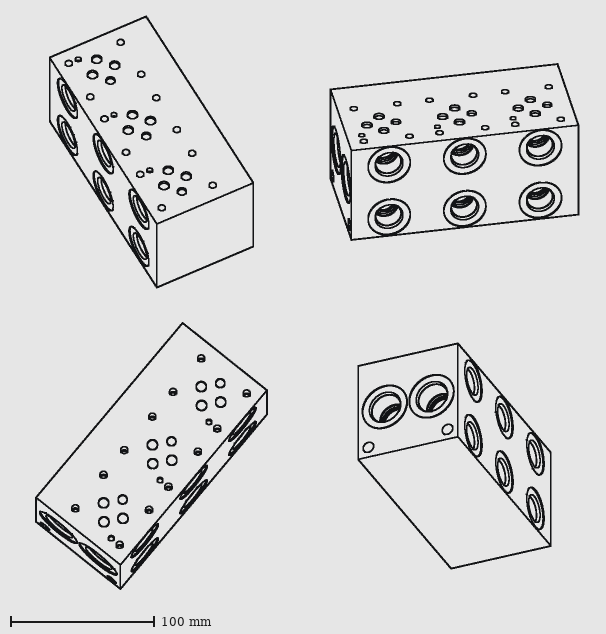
import cadquery as cq
import math

LENGTH = 161.67
DEPTH = 76.2
HEIGHT = 76.2

DRILL_POINT_ANGLE = 118.0
POINT_SLOPE = math.tan(math.radians(DRILL_POINT_ANGLE / 2))

STATION_COUNT = 3
STATION_PITCH = 53.85

FRONT_BOLT_ROW_INSET = 9.525
FRONT_BOLT_ROW_Y = -DEPTH / 2 + FRONT_BOLT_ROW_INSET
BOLT_ROW_SPACING = 40.5
FRONT_BOLT_HALF_SPACING = 16.25
BACK_BOLT_HALF_SPACING = 15.5
BOLT_THREAD_DIAMETER = 5.0
BOLT_TAP_DIAMETER = 4.22
BOLT_THREAD_DEPTH = 10.0
BOLT_TAP_DEPTH = 12.0

PATTERN_CENTRE_OFFSET = 19.0
PATTERN_CENTRE_Y = FRONT_BOLT_ROW_Y + PATTERN_CENTRE_OFFSET
PORT_OFFSET_X = 10.32
PORT_OFFSET_Y = 8.75
VALVE_PORT_DIAMETER = 7.14
PRESSURE_PORT_DIAMETER = 6.35
VALVE_PORT_DEPTH = 2.0
LOCATING_PIN_OFFSET = 7.5
LOCATING_PIN_Y = FRONT_BOLT_ROW_Y + LOCATING_PIN_OFFSET
LOCATING_PIN_DIAMETER = 3.96
LOCATING_PIN_DEPTH = 4.0

WORK_PORT_HALF_SPACING = 22.225
WORK_SPOTFACE_DIAMETER = 30.0
WORK_SEAL_MOUTH_DIAMETER = 19.8
WORK_SEAL_ROOT_DIAMETER = 18.53
WORK_THREAD_DIAMETER = 18.01
WORK_TAP_DIAMETER = 16.54
WORK_DRILL_DIAMETER = 14.28
WORK_THREAD_DEPTH = 14.5
WORK_TAP_DEPTH = 17.0

SUPPLY_PORT_HALF_SPACING = 17.85
SUPPLY_SPOTFACE_DIAMETER = 33.98
SUPPLY_SEAL_MOUTH_DIAMETER = 23.8
SUPPLY_SEAL_ROOT_DIAMETER = 22.53
SUPPLY_THREAD_DIAMETER = 22.0
SUPPLY_TAP_DIAMETER = 20.52
SUPPLY_DRILL_DIAMETER = 19.05
SUPPLY_THREAD_DEPTH = 17.0
SUPPLY_TAP_DEPTH = 19.5

SPOTFACE_DEPTH = 0.8
SEAL_CONE_DEPTH = 2.4
DRILL_EXTENSION = 2.0

MOUNT_OFFSET = 30.16
MOUNT_THREAD_DIAMETER = 8.0
MOUNT_TAP_DIAMETER = 6.76
MOUNT_THREAD_DEPTH = 12.0
MOUNT_TAP_DEPTH = 14.0


def point_length(large_diameter, small_diameter=0.0):
    """Axial length of a drill-point cone between two diameters."""
    return (large_diameter - small_diameter) / 2 / POINT_SLOPE


def revolved_cutter(steps, tip_depth):
    """Cutter along -Z from the origin; steps are (diameter, depth) pairs ending in a point on the axis."""
    profile = [(0, 0)]
    for diameter, depth in steps:
        profile.append((diameter / 2, -depth))
    profile.append((0, -tip_depth))
    return cq.Workplane("XZ").polyline(profile).close().revolve(360, (0, 0), (0, 1))


def drilled_hole(diameter, depth):
    steps = [(diameter, 0), (diameter, depth)]
    return revolved_cutter(steps, depth + point_length(diameter))


def tapped_hole(thread_diameter, tap_diameter, thread_depth, tap_depth):
    steps = [
        (thread_diameter, 0),
        (thread_diameter, thread_depth),
        (tap_diameter, thread_depth),
        (tap_diameter, tap_depth),
    ]
    return revolved_cutter(steps, tap_depth + point_length(tap_diameter))


def threaded_port(spotface, seal_mouth, seal_root, thread, tap, drill, thread_depth, tap_depth):
    """Spotface, conical seal seat, thread bore, tap bore and drilled passage on one axis."""
    seal_depth = SPOTFACE_DEPTH + SEAL_CONE_DEPTH
    drill_start = tap_depth + point_length(tap, drill)
    drill_depth = drill_start + DRILL_EXTENSION
    steps = [
        (spotface, 0),
        (spotface, SPOTFACE_DEPTH),
        (seal_mouth, SPOTFACE_DEPTH),
        (seal_root, seal_depth),
        (thread, seal_depth),
        (thread, thread_depth),
        (tap, thread_depth),
        (tap, tap_depth),
        (drill, drill_start),
        (drill, drill_depth),
    ]
    return revolved_cutter(steps, drill_depth + point_length(drill))


def cut_at(body, cutter, points):
    for point in points:
        body = body.cut(cutter.translate(point))
    return body


def cut_valve_pattern(body, station_x):
    top = HEIGHT / 2
    back_bolt_row_y = FRONT_BOLT_ROW_Y + BOLT_ROW_SPACING
    bolt_points = []
    for side in (-1, 1):
        bolt_points.append((station_x + side * FRONT_BOLT_HALF_SPACING, FRONT_BOLT_ROW_Y, top))
        bolt_points.append((station_x + side * BACK_BOLT_HALF_SPACING, back_bolt_row_y, top))
    bolt = tapped_hole(BOLT_THREAD_DIAMETER, BOLT_TAP_DIAMETER, BOLT_THREAD_DEPTH, BOLT_TAP_DEPTH)
    body = cut_at(body, bolt, bolt_points)

    port_points = [
        (station_x - PORT_OFFSET_X, PATTERN_CENTRE_Y, top),
        (station_x, PATTERN_CENTRE_Y - PORT_OFFSET_Y, top),
        (station_x, PATTERN_CENTRE_Y + PORT_OFFSET_Y, top),
    ]
    body = cut_at(body, drilled_hole(VALVE_PORT_DIAMETER, VALVE_PORT_DEPTH), port_points)

    pressure_point = (station_x + PORT_OFFSET_X, PATTERN_CENTRE_Y, top)
    body = cut_at(body, drilled_hole(PRESSURE_PORT_DIAMETER, VALVE_PORT_DEPTH), [pressure_point])

    pin_point = (station_x - FRONT_BOLT_HALF_SPACING, LOCATING_PIN_Y, top)
    return cut_at(body, drilled_hole(LOCATING_PIN_DIAMETER, LOCATING_PIN_DEPTH), [pin_point])


def cut_work_ports(body, station_x):
    cutter = threaded_port(
        WORK_SPOTFACE_DIAMETER,
        WORK_SEAL_MOUTH_DIAMETER,
        WORK_SEAL_ROOT_DIAMETER,
        WORK_THREAD_DIAMETER,
        WORK_TAP_DIAMETER,
        WORK_DRILL_DIAMETER,
        WORK_THREAD_DEPTH,
        WORK_TAP_DEPTH,
    )
    facing_front = cutter.rotate((0, 0, 0), (1, 0, 0), 90)
    points = [(station_x, -DEPTH / 2, side * WORK_PORT_HALF_SPACING) for side in (-1, 1)]
    return cut_at(body, facing_front, points)


def face_left_end(cutter):
    return cutter.rotate((0, 0, 0), (0, 1, 0), -90)


def cut_supply_ports(body):
    cutter = threaded_port(
        SUPPLY_SPOTFACE_DIAMETER,
        SUPPLY_SEAL_MOUTH_DIAMETER,
        SUPPLY_SEAL_ROOT_DIAMETER,
        SUPPLY_THREAD_DIAMETER,
        SUPPLY_TAP_DIAMETER,
        SUPPLY_DRILL_DIAMETER,
        SUPPLY_THREAD_DEPTH,
        SUPPLY_TAP_DEPTH,
    )
    points = [(-LENGTH / 2, side * SUPPLY_PORT_HALF_SPACING, 0) for side in (-1, 1)]
    return cut_at(body, face_left_end(cutter), points)


def cut_mounting_holes(body):
    cutter = tapped_hole(MOUNT_THREAD_DIAMETER, MOUNT_TAP_DIAMETER, MOUNT_THREAD_DEPTH, MOUNT_TAP_DEPTH)
    points = [(-LENGTH / 2, side * MOUNT_OFFSET, -MOUNT_OFFSET) for side in (-1, 1)]
    return cut_at(body, face_left_end(cutter), points)


manifold = cq.Workplane("XY").box(LENGTH, DEPTH, HEIGHT)
for station in range(STATION_COUNT):
    x = (station - (STATION_COUNT - 1) / 2) * STATION_PITCH
    manifold = cut_valve_pattern(manifold, x)
    manifold = cut_work_ports(manifold, x)
manifold = cut_supply_ports(manifold)
manifold = cut_mounting_holes(manifold)

result = manifold